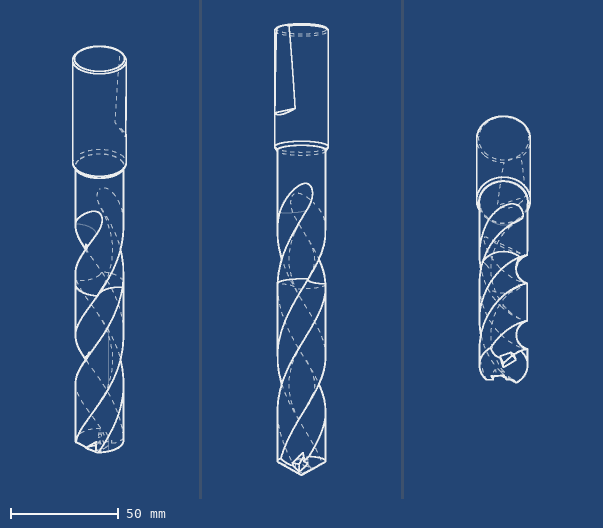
import cadquery as cq
import math

TOTAL_LENGTH = 212.0
SHANK_DIAMETER = 25.0
DRILL_DIAMETER = 22.5
SHANK_RADIUS = SHANK_DIAMETER / 2
DRILL_RADIUS = DRILL_DIAMETER / 2

POINT_HEIGHT = 6.8
JOINT_HEIGHT = 91.0
FLUTE_TOP = 123.8
SHOULDER_BASE = 154.3
SHOULDER_TOP = 156.0

SHOULDER_BASE_RADIUS = 11.5
TOP_CHAMFER = 0.8
FLAT_BASE = 171.7
FLAT_BASE_OFFSET = 10.4
FLAT_TILT = 2.0

FLUTE_COUNT = 2
FLUTE_PITCH = 118.7
FLUTE_ARC_RADIUS = 10.2
FLUTE_FLOOR_RADIUS = 6.0
FLUTE_X_HEIGHT = 27.5
RUNOUT_LENGTH = 17.0
RUNOUT_RADIAL_SLOPE = 0.1
RUNOUT_TANGENT_SLOPE = 1.0

GASH_INNER_X = 0.6
GASH_INNER_HEIGHT = 4.9
GASH_PEAK_X = 5.0
GASH_PEAK_HEIGHT = 9.3
GASH_OUTER_X = 6.8
GASH_OUTER_HEIGHT = 6.0
GASH_FLOOR = 2.1

CUT_MARGIN = 2.1
FLUTE_START = -CUT_MARGIN
FLUTE_CENTER = FLUTE_FLOOR_RADIUS + FLUTE_ARC_RADIUS


def flute_angle(height):
    """Direction, in degrees, faced by the first flute at a height."""
    return 360 * (height - FLUTE_X_HEIGHT) / FLUTE_PITCH


def flute_profile(height):
    """Round cutting profile of a flute, facing +X at a height."""
    return cq.Workplane("XY", origin=(0, 0, height)).moveTo(FLUTE_CENTER, 0).circle(FLUTE_ARC_RADIUS)


def turned(cutter, angle):
    return cutter.rotate((0, 0, 0), (0, 0, 1), angle)


def make_helical_cutter():
    length = FLUTE_TOP - FLUTE_START
    helix = flute_profile(FLUTE_START).twistExtrude(length, 360 * length / FLUTE_PITCH)
    return turned(helix, flute_angle(FLUTE_START))


def make_runout_cutter():
    """Straight end of a flute, leaning sideways and outward until it leaves the drill."""
    path = cq.Vector(RUNOUT_RADIAL_SLOPE, RUNOUT_TANGENT_SLOPE, 1) * RUNOUT_LENGTH
    profile = cq.Face.makeFromWires(flute_profile(FLUTE_TOP).wires().val())
    runout = cq.Workplane(cq.Solid.extrudeLinear(profile, path))
    return turned(runout, flute_angle(FLUTE_TOP))


def cut_at_flutes(body, cutter):
    """Repeat a cut once for every flute around the axis."""
    for index in range(FLUTE_COUNT):
        body = body.cut(turned(cutter, 360 * index / FLUTE_COUNT))
    return body


def make_flat_cutter():
    """Block above the tilted flat on the +Y side, with a 45 degree lower end."""
    outside = SHANK_RADIUS + CUT_MARGIN
    top = TOTAL_LENGTH + CUT_MARGIN
    top_offset = FLAT_BASE_OFFSET + (top - FLAT_BASE) * math.tan(math.radians(FLAT_TILT))
    return (
        cq.Workplane("YZ")
        .moveTo(FLAT_BASE_OFFSET, FLAT_BASE)
        .lineTo(top_offset, top)
        .lineTo(outside, top)
        .lineTo(outside, FLAT_BASE - (outside - FLAT_BASE_OFFSET))
        .close()
        .extrude(SHANK_RADIUS, both=True)
    )


def make_shank():
    """Clamping shank with the upper, fluted part of the drill body."""
    body = (
        cq.Workplane("XZ")
        .moveTo(0, JOINT_HEIGHT)
        .lineTo(DRILL_RADIUS, JOINT_HEIGHT)
        .lineTo(DRILL_RADIUS, SHOULDER_BASE)
        .lineTo(SHOULDER_BASE_RADIUS, SHOULDER_BASE)
        .lineTo(SHANK_RADIUS, SHOULDER_TOP)
        .lineTo(SHANK_RADIUS, TOTAL_LENGTH - TOP_CHAMFER)
        .lineTo(SHANK_RADIUS - TOP_CHAMFER, TOTAL_LENGTH)
        .lineTo(0, TOTAL_LENGTH)
        .close()
        .revolve()
    )
    body = body.cut(make_flat_cutter())
    body = cut_at_flutes(body, make_helical_cutter())
    return cut_at_flutes(body, make_runout_cutter())


def make_gash_cutter():
    """Peaked block that opens the web into the flute on the -Y side of the point."""
    return (
        cq.Workplane("XZ", origin=(0, -GASH_FLOOR, 0))
        .moveTo(GASH_INNER_X, 0)
        .lineTo(GASH_INNER_X, GASH_INNER_HEIGHT)
        .lineTo(GASH_PEAK_X, GASH_PEAK_HEIGHT)
        .lineTo(GASH_OUTER_X, GASH_OUTER_HEIGHT)
        .lineTo(GASH_OUTER_X, 0)
        .close()
        .extrude(DRILL_RADIUS)
    )


def make_cutting_head():
    """Lower fluted part of the drill with its conical point."""
    body = (
        cq.Workplane("XZ")
        .lineTo(DRILL_RADIUS, POINT_HEIGHT)
        .lineTo(DRILL_RADIUS, JOINT_HEIGHT)
        .lineTo(0, JOINT_HEIGHT)
        .close()
        .revolve()
    )
    body = cut_at_flutes(body, make_helical_cutter())
    return cut_at_flutes(body, make_gash_cutter())


shank = make_shank()
cutting_head = make_cutting_head()

result = cq.Compound.makeCompound([shank.val(), cutting_head.val()])